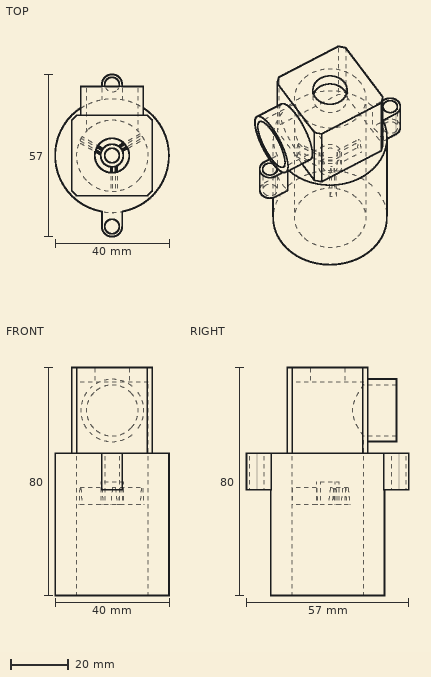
import cadquery as cq

body_diameter = 40
body_height = 50.0

total_height = 80
head_width = 28.3
head_chamfer = 1.8
head_height = total_height - body_height

bore_diameter = 25.0
inlet_diameter = 12
top_wall = 5.0

port_diameter = 22.0
port_bore_diameter = 18.0
port_end_y = 24.2
port_center_z = body_height + head_height / 2

total_depth = 57.0
ear_width = 7.2
ear_hole_diameter = 5.0
ear_height = 13.0
ear_center_y = (total_depth - ear_width) / 2

hub_diameter = 8
hub_bore_diameter = 5.0
hub_bottom_z = 32
hub_height = 8
rib_count = 3
rib_height = 6.0
rib_foot_width = 2.3
rib_crest_width = 1.0
rib_offset = 0.6
rib_overlap = 0.4


def cylinder(diameter, bottom, top):
    """Upright cylinder on the main axis."""
    return cq.Workplane("XY").workplane(offset=bottom).circle(diameter / 2).extrude(top - bottom)


def port_cylinder(diameter):
    """Cylinder along the port axis, from the main axis to the port mouth."""
    plane = cq.Workplane("XZ", origin=(0, 0, port_center_z))
    return plane.circle(diameter / 2).extrude(-port_end_y)


def make_housing():
    """Body, chamfered head, port and ears, without any holes."""
    head = (
        cq.Workplane("XY")
        .workplane(offset=body_height)
        .rect(head_width, head_width)
        .extrude(head_height)
        .edges("|Z")
        .chamfer(head_chamfer)
    )
    ears = (
        cq.Workplane("XY")
        .workplane(offset=body_height - ear_height)
        .slot2D(total_depth, ear_width, 90)
        .extrude(ear_height)
    )
    body = cylinder(body_diameter, 0, body_height)
    return body.union(head).union(ears).union(port_cylinder(port_diameter))


def make_openings():
    """Main bore, inlet, port bore and ear holes."""
    ear_holes = (
        cq.Workplane("XY")
        .pushPoints([(0, -ear_center_y), (0, ear_center_y)])
        .circle(ear_hole_diameter / 2)
        .extrude(body_height)
    )
    bore = cylinder(bore_diameter, 0, total_height - top_wall)
    inlet = cylinder(inlet_diameter, 0, total_height)
    return bore.union(inlet).union(port_cylinder(port_bore_diameter)).union(ear_holes)


def make_rib():
    """Rib reaching from the hub along -Y into the bore wall."""
    foot = rib_foot_width / 2
    crest = rib_crest_width / 2
    return (
        cq.Workplane("XZ", origin=(rib_offset, 0, hub_bottom_z))
        .polyline([(-foot, 0), (foot, 0), (crest, rib_height), (-crest, rib_height)])
        .close()
        .extrude(bore_diameter / 2 + rib_overlap)
    )


def make_hub():
    """Tubular hub with its ribs evenly spaced around it."""
    hub_top_z = hub_bottom_z + hub_height
    hub = cylinder(hub_diameter, hub_bottom_z, hub_top_z)
    for index in range(rib_count):
        rib = make_rib().rotate((0, 0, 0), (0, 0, 1), index * 360 / rib_count)
        hub = hub.union(rib)
    return hub.cut(cylinder(hub_bore_diameter, hub_bottom_z, hub_top_z))


result = make_housing().cut(make_openings()).union(make_hub())